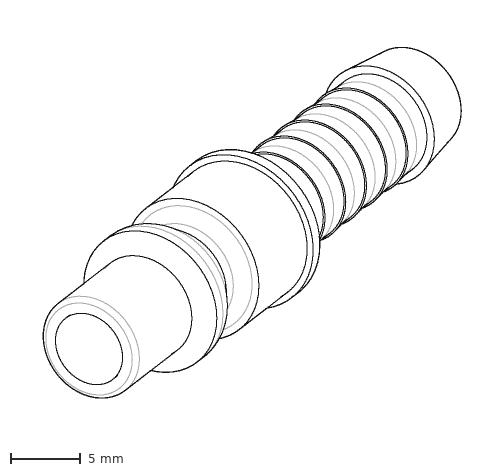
import cadquery as cq
import math

length = 47.0
tip_y = -length / 2
hose_end_y = length / 2

bore_radius = 2.75

tail_radius = 4.0
barb_length = 5.0
barb_radius = 4.6
ridge_count = 5
ridge_pitch = 3.0
ridge_length = 1.5
ridge_height = 0.15
first_ridge_offset = 6.5

flange_radius = 5.992
flange_thickness = 1.0
flange_offset = 24.0
body_radius = 5.5
body_length = 7.0

plug_radius = 3.95
neck_fillet = 1.0
tip_rounding = 0.38
plug_length = 8.0
nose_cone_angle = 30.0
collar_length = 0.9
shoulder_radius = 2.45
shoulder_cone_angle = 31.5

flange_back_y = hose_end_y - flange_offset
flange_front_y = flange_back_y - flange_thickness
body_front_y = flange_front_y - body_length
neck_back_y = body_front_y - neck_fillet
plug_back_y = tip_y + plug_length
nose_angle = math.radians(nose_cone_angle)
collar_front_y = plug_back_y + (body_radius - plug_radius) * math.tan(nose_angle)
collar_back_y = collar_front_y + collar_length

shoulder_angle = math.radians(shoulder_cone_angle)
cone_top_radius = body_radius - shoulder_radius * (1 - math.cos(shoulder_angle))
shoulder_back_y = collar_back_y + shoulder_radius * math.sin(shoulder_angle)
neck_front_y = shoulder_back_y + (cone_top_radius - plug_radius) / math.tan(shoulder_angle)


def add_plug(outline):
    """Rounded tip, nose, locking shoulder and neck, up to the body face."""
    return (
        outline.lineTo(plug_radius - tip_rounding, tip_y)
        .radiusArc((plug_radius, tip_y + tip_rounding), -tip_rounding)
        .lineTo(plug_radius, plug_back_y)
        .lineTo(body_radius, collar_front_y)
        .lineTo(body_radius, collar_back_y)
        .radiusArc((cone_top_radius, shoulder_back_y), -shoulder_radius)
        .lineTo(plug_radius, neck_front_y)
        .lineTo(plug_radius, neck_back_y)
        .radiusArc((plug_radius + neck_fillet, body_front_y), neck_fillet)
    )


def add_body(outline):
    """Cylindrical body and its flange, up to the hose tail."""
    return (
        outline.lineTo(body_radius, body_front_y)
        .lineTo(body_radius, flange_front_y)
        .lineTo(flange_radius, flange_front_y)
        .lineTo(flange_radius, flange_back_y)
        .lineTo(tail_radius, flange_back_y)
    )


def add_hose_tail(outline):
    """Row of low tapered ridges ending in the large end barb."""
    for ridge in reversed(range(ridge_count)):
        narrow_y = hose_end_y - first_ridge_offset - ridge * ridge_pitch
        wide_y = narrow_y - ridge_length
        outline = (
            outline.lineTo(tail_radius, wide_y)
            .lineTo(tail_radius + ridge_height, wide_y)
            .lineTo(tail_radius, narrow_y)
        )
    barb_y = hose_end_y - barb_length
    return (
        outline.lineTo(tail_radius, barb_y)
        .lineTo(barb_radius, barb_y)
        .lineTo(tail_radius, hose_end_y)
    )


half_section = cq.Workplane("XY").moveTo(bore_radius, tip_y)
half_section = add_plug(half_section)
half_section = add_body(half_section)
half_section = add_hose_tail(half_section)
half_section = half_section.lineTo(bore_radius, hose_end_y).close()

result = half_section.revolve(360, (0, 0, 0), (0, 1, 0))